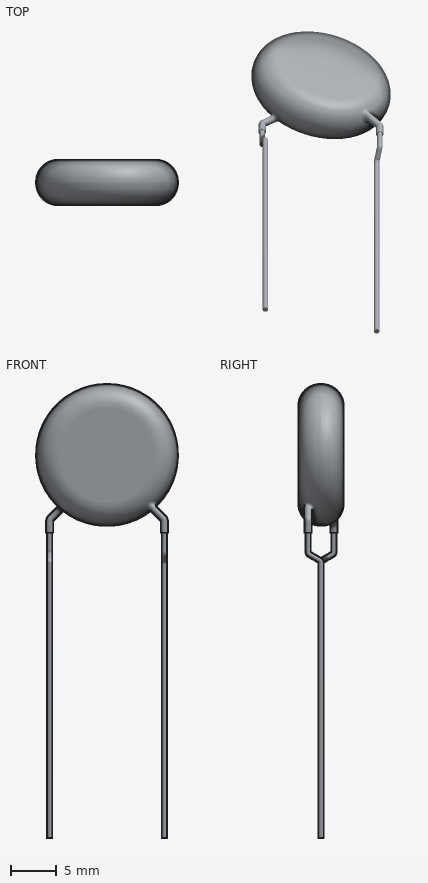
import cadquery as cq
import math


disc_diameter = 15.5
disc_thickness = 5.0
overall_height = 49.5

lead_pitch = 12.5
lead_offset = 1.4
wire_diameter = 0.6
coating_diameter = 0.8

coating_bend_radius = 0.45
entry_fillet_radius = 0.4
wire_bend_radius = 0.35
kink_angle = 60.0

coating_end_z = -8.5
shoulder_z = -7.05
kink_top_z = -10.75

disc_radius = disc_diameter / 2
edge_radius = disc_thickness / 2
flat_radius = disc_radius - edge_radius
lead_tip_z = disc_radius - overall_height
lead_x = lead_pitch / 2
lead_y = -lead_offset
entry_point = (4.7, lead_y, -5.5)
root_run = 2.5
kink_bottom_z = kink_top_z - lead_offset / math.tan(math.radians(kink_angle))


def rounded_rod(points, diameter, bend_radius):
    """Round rod along straight runs between points, with an arc at each inner corner."""
    corners = [cq.Vector(*point) for point in points]
    edges = []
    run_start = corners[0]
    for before, corner, after in zip(corners, corners[1:], corners[2:]):
        incoming = (corner - before).normalized()
        outgoing = (after - corner).normalized()
        turn = incoming.getAngle(outgoing)
        setback = bend_radius * math.tan(turn / 2)
        arc_start = corner - incoming * setback
        arc_end = corner + outgoing * setback
        arc_gap = bend_radius * (1 / math.cos(turn / 2) - 1)
        arc_middle = corner + (outgoing - incoming).normalized() * arc_gap
        edges.append(cq.Edge.makeLine(run_start, arc_start))
        edges.append(cq.Edge.makeThreePointArc(arc_start, arc_middle, arc_end))
        run_start = arc_end
    edges.append(cq.Edge.makeLine(run_start, corners[-1]))

    path = cq.Workplane(cq.Wire.assembleEdges(edges))
    start_plane = cq.Plane(origin=corners[0], normal=corners[1] - corners[0])
    return cq.Workplane(start_plane).circle(diameter / 2).sweep(path)


def make_disc():
    """Disc standing in the XZ plane: a flat-faced core inside a fully rounded rim."""
    core = cq.Workplane("XZ").circle(flat_radius).extrude(edge_radius, both=True)
    rim = cq.Solid.makeTorus(flat_radius, edge_radius, cq.Vector(0, 0, 0), cq.Vector(0, 1, 0))
    return core.union(cq.Workplane(rim))


def coated_root():
    """Coated upper part of the +X lead, turning 45 degrees into the disc rim."""
    points = [
        (lead_x, lead_y, coating_end_z),
        (lead_x, lead_y, shoulder_z),
        (lead_x - root_run, lead_y, shoulder_z + root_run),
    ]
    return rounded_rod(points, coating_diameter, coating_bend_radius)


def bare_wire():
    """Bare lower part of the +X lead, kinked back to the disc mid-plane."""
    points = [
        (lead_x, lead_y, coating_end_z),
        (lead_x, lead_y, kink_top_z),
        (lead_x, 0, kink_bottom_z),
        (lead_x, 0, lead_tip_z),
    ]
    return rounded_rod(points, wire_diameter, wire_bend_radius)


def add_lead(body):
    """Join the +X lead to the body and blend its coated root into the disc rim."""
    joined = body.union(coated_root())
    entry_edge = joined.edges(cq.selectors.NearestToPointSelector(entry_point))
    return entry_edge.fillet(entry_fillet_radius).union(bare_wire())


result = make_disc()
for _ in range(2):
    result = add_lead(result).rotate((0, 0, 0), (0, 0, 1), 180)